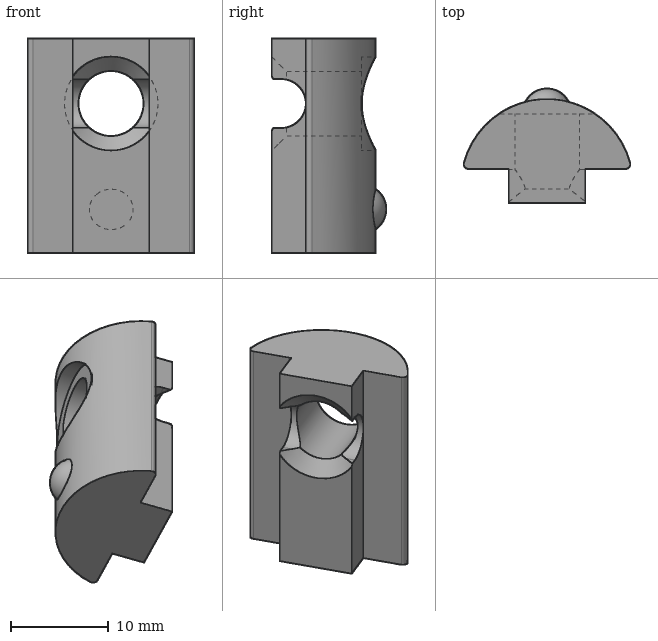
import cadquery as cq

length = 22.0
width = 17.1
neck_width = 7.85
neck_depth = 3.5
body_depth = 7.17
corner_radius = 0.5
back_y = neck_depth + body_depth

hole_diameter = 6.65
hole_z = 15.33
countersink_diameter = 9.64
counterbore_diameter = 9.57
counterbore_depth = 1.5

ball_diameter = 5.0
ball_protrusion = 1.1
ball_z = 4.5
slot_height = ball_diameter

corner_x = width / 2 - corner_radius
corner_drop = body_depth - corner_radius
back_radius = (corner_x**2 + corner_drop**2 - corner_radius**2) / (2 * (corner_drop - corner_radius))


def make_body():
    """Round-backed bar with softened edges and a rectangular neck."""
    bar = (
        cq.Workplane("XY")
        .center(0, back_y - back_radius)
        .circle(back_radius)
        .extrude(length)
    )
    keep = (
        cq.Workplane("XY")
        .box(2 * back_radius, body_depth, length, centered=(True, False, False))
        .translate((0, neck_depth, 0))
    )
    bar = bar.intersect(keep).faces("<Y").edges("|Z").fillet(corner_radius)
    neck = cq.Workplane("XY").box(
        neck_width, neck_depth + corner_radius, length, centered=(True, False, False)
    )
    return bar.union(neck)


def make_cross_hole():
    """Stepped cutter revolved about the hole axis, which runs along Y."""
    hole_radius = hole_diameter / 2
    sink_radius = countersink_diameter / 2
    bore_radius = counterbore_diameter / 2
    bore_floor = back_y - counterbore_depth
    return (
        cq.Workplane("XY")
        .polyline([
            (0, 0),
            (sink_radius, 0),
            (hole_radius, sink_radius - hole_radius),
            (hole_radius, bore_floor),
            (bore_radius, bore_floor),
            (bore_radius, back_y),
            (0, back_y),
        ])
        .close()
        .revolve(360, (0, 0, 0), (0, 1, 0))
        .translate((0, 0, hole_z))
    )


def make_neck_slot():
    """Slot through the neck along X, open in front and rounded at its bottom."""
    radius = slot_height / 2
    straight_depth = neck_depth - radius
    return (
        cq.Workplane("YZ")
        .moveTo(0, hole_z - radius)
        .lineTo(straight_depth, hole_z - radius)
        .threePointArc((neck_depth, hole_z), (straight_depth, hole_z + radius))
        .lineTo(0, hole_z + radius)
        .close()
        .extrude(neck_width / 2, both=True)
    )


def make_ball():
    """Ball standing slightly proud of the rounded back."""
    radius = ball_diameter / 2
    ball_y = back_y + ball_protrusion - radius
    return cq.Workplane("XY").sphere(radius).translate((0, ball_y, ball_z))


result = make_body().cut(make_cross_hole()).cut(make_neck_slot()).union(make_ball())